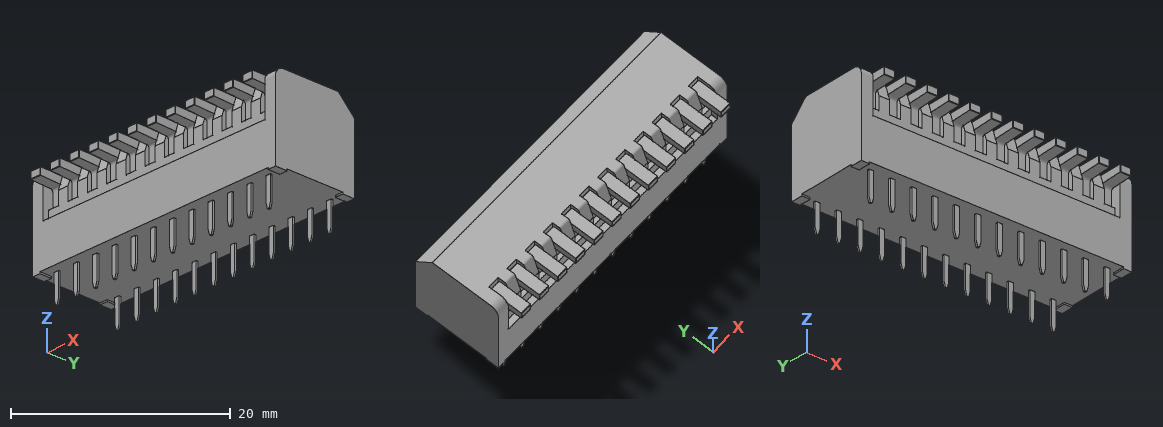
import cadquery as cq
import math

length = 32.05
depth = 9.93
height = 10.2
back_chamfer = 2.02
front_radius = 1.03
foot_height = 0.2
foot_length = 1.0
foot_depth = 1.47

lever_count = 12
row_span = 27.95
pitch = row_span / (lever_count - 1)
stations = [i * pitch - row_span / 2 for i in range(lever_count)]

slot_width = 1.28
slot_back = 2.35
slot_bottom = -3.7

lever_reach = 1.57
tip_chamfer = 0.048
lever_top = -0.48
tip_bottom = -1.35
root_bottom = -1.45
slider_face = 1.22
root_radius = 0.3
heel_radius = 0.4

pocket_width = row_span + slot_width
pocket_depth = 0.7
pocket_bottom = -5.0
slope_bottom = -2.1
slope_angle = math.radians(18)
rim_radius = 0.3

pin_width = 0.58
pin_thickness = 0.22
pin_bottom = -13.4
pin_taper = 0.6
pin_tip_width = 0.22
pin_row_spacing = 7.63
pin_rows = [depth / 2 - pin_row_spacing / 2, depth / 2 + pin_row_spacing / 2]


def extrude_across(outline, x_center, width):
    """Extrude a closed (Y, Z) outline along X, centred on x_center."""
    return outline.extrude(width / 2, both=True).translate((x_center, 0, 0))


def box(x_size, y_min, y_max, z_min, z_max, x_center=0.0):
    """Box centred on x_center, given by its Y and Z limits."""
    return cq.Workplane("XY").box(
        x_size, y_max - y_min, z_max - z_min, centered=(True, False, False)
    ).translate((x_center, y_min, z_min))


def make_housing():
    """Block with a chamfered back edge, a rounded front edge and four corner feet."""
    block = box(length, 0, depth, foot_height - height, 0)
    block = block.edges("|X and >Y and >Z").chamfer(back_chamfer)
    block = block.edges("|X and <Y and >Z").fillet(front_radius)
    for side in (-1, 1):
        x_center = side * (length - foot_length) / 2
        for y_min in (0, depth - foot_depth):
            foot = box(foot_length, y_min, y_min + foot_depth, -height, foot_height - height, x_center)
            block = block.union(foot)
    return block


def make_pocket():
    """Pocket with an upright lower wall, a sloped upper wall and a rounded rim."""
    slope_top = -rim_radius * (1 - math.sin(slope_angle))
    slope_back = pocket_depth + (slope_top - slope_bottom) * math.tan(slope_angle)
    rim_back = slope_back + rim_radius * math.cos(slope_angle)
    rim_lean = (math.pi / 2 - slope_angle) / 2
    rim_middle = (
        rim_back - rim_radius * math.sin(rim_lean),
        -rim_radius * (1 - math.cos(rim_lean)),
    )
    outline = (
        cq.Workplane("YZ")
        .moveTo(0, pocket_bottom)
        .lineTo(pocket_depth, pocket_bottom)
        .lineTo(pocket_depth, slope_bottom)
        .lineTo(slope_back, slope_top)
        .threePointArc(rim_middle, (rim_back, 0))
        .lineTo(0, 0)
        .close()
    )
    return extrude_across(outline, 0, pocket_width)


def make_lever(x_center):
    """Front finger with a chamfered tip, and the slider behind it in the slot."""
    outline = (
        cq.Workplane("YZ")
        .moveTo(-lever_reach, lever_top)
        .lineTo(slot_back - heel_radius, lever_top)
        .radiusArc((slot_back, lever_top - heel_radius), heel_radius)
        .lineTo(slot_back, slot_bottom)
        .lineTo(slider_face, slot_bottom)
        .lineTo(slider_face, root_bottom - root_radius)
        .radiusArc((slider_face - root_radius, root_bottom), -root_radius)
        .lineTo(-lever_reach, tip_bottom)
        .close()
    )
    lever = extrude_across(outline, x_center, slot_width)
    return lever.faces("<Y").chamfer(tip_chamfer)


def make_pin(x_center, y_center):
    """Flat pin whose two narrow sides taper towards the tip."""
    pin_top = foot_height - height
    shoulder = pin_bottom + pin_taper
    outline = [
        (-pin_width / 2, pin_top),
        (pin_width / 2, pin_top),
        (pin_width / 2, shoulder),
        (pin_tip_width / 2, pin_bottom),
        (-pin_tip_width / 2, pin_bottom),
        (-pin_width / 2, shoulder),
    ]
    pin = cq.Workplane("XZ").polyline(outline).close().extrude(pin_thickness / 2, both=True)
    return pin.translate((x_center, y_center, 0))


result = make_housing().cut(make_pocket())
for x in stations:
    result = result.cut(box(slot_width, 0, slot_back, slot_bottom, 0, x))
for x in stations:
    result = result.union(make_lever(x))
    for y in pin_rows:
        result = result.union(make_pin(x, y))